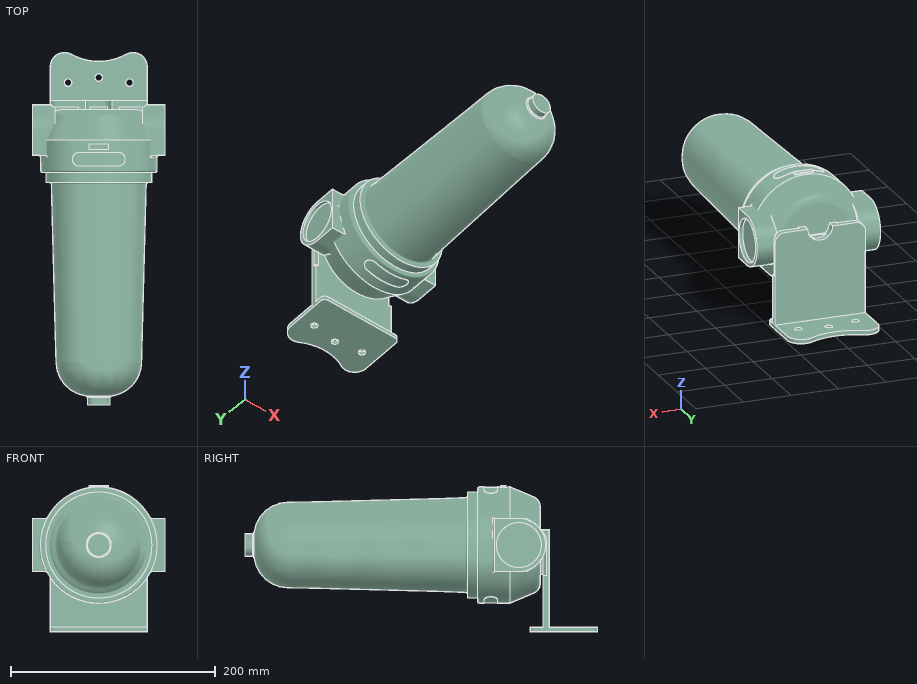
import cadquery as cq
import math


head_radius = 57.0
head_back = 21.0
head_front = -40.4
cone_front = -8.8
cone_back_radius = 47.2
back_rounding = 6.5
front_rounding = 2.0

collar_radius = 51.9
collar_front = -50.3
bowl_top_radius = 46.5
bowl_tip_radius = 42.0
collar_fillet = 2.0
dome_start = -225.3
dome_radius = 34.0
drain_radius = 11.1
drain_flare = 1.1
drain_end = -267.9

port_radius = 26.1
port_half_span = 65.0
port_inner = 43.0
port_front = -23.6
port_fillet = 2.0
port_recess_radius = 22.0
port_recess_depth = 4.0

label_length = 51.7
label_width = 13.3
label_center_y = -27.4
label_depth = 0.3

marking_length = 19.0
marking_width = 5.5
marking_center_y = -15.2
marking_height = 1.0

bracket_width = 95.0
bracket_top = 15.0
bracket_bottom = -85.0
upright_front = 23.5
upright_back = 29.9
upright_corner = 10.0
base_thickness = 4.6
base_front = 11.0
base_back = 77.0
base_front_corner = 5.5
ear_radius = 14.0
scallop_depth = 8.6
notch_radius = 13.0
side_relief = 3.3
side_relief_bottom = -30.0
screw_hole_diameter = 7.0
middle_hole_y = 52.5
outer_hole_y = 47.5
outer_hole_x = 30.0

pad_width = 40.0
pad_bottom = -29.0
pad_notch_floor = 5.2

half_bracket = bracket_width / 2


def about_y(profile):
    """Revolve an XY profile around the housing axis."""
    return profile.close().revolve(360, (0, 0, 0), (0, 1, 0))


def box(x_min, x_max, y_min, y_max, z_min, z_max):
    size = (x_max - x_min, y_max - y_min, z_max - z_min)
    return cq.Workplane("XY").box(*size, centered=False).translate((x_min, y_min, z_min))


def make_head():
    cone_back = head_back - back_rounding
    cone_angle = math.atan2(head_radius - cone_back_radius, cone_back - cone_front)
    back_arc_radius = back_rounding / (1 - math.sin(cone_angle))
    back_face_radius = cone_back_radius - back_arc_radius * math.cos(cone_angle)
    profile = (
        cq.Workplane("XY")
        .moveTo(0, head_front)
        .lineTo(head_radius - front_rounding, head_front)
        .radiusArc((head_radius, head_front + front_rounding), -front_rounding)
        .lineTo(head_radius, cone_front)
        .lineTo(cone_back_radius, cone_back)
        .tangentArcPoint((back_face_radius, head_back), relative=False)
        .lineTo(0, head_back)
    )
    return about_y(profile)


def make_bowl():
    dome_end = dome_start - dome_radius
    dome_center_radius = bowl_tip_radius - dome_radius
    diagonal = dome_radius * math.sqrt(0.5)
    profile = (
        cq.Workplane("XY")
        .moveTo(0, head_front)
        .lineTo(collar_radius, head_front)
        .lineTo(collar_radius, collar_front)
        .lineTo(bowl_top_radius + collar_fillet, collar_front)
        .radiusArc((bowl_top_radius, collar_front - collar_fillet), -collar_fillet)
        .lineTo(bowl_tip_radius, dome_start)
        .threePointArc(
            (dome_center_radius + diagonal, dome_start - diagonal),
            (dome_center_radius, dome_end),
        )
        .lineTo(0, dome_end)
    )
    flare_start = dome_end - drain_flare
    drain = (
        cq.Workplane("XY")
        .moveTo(0, dome_start)
        .lineTo(drain_radius + drain_flare, dome_start)
        .lineTo(drain_radius + drain_flare, dome_end)
        .lineTo(drain_radius, flare_start)
        .lineTo(drain_radius, drain_end)
        .lineTo(0, drain_end)
    )
    return about_y(profile).union(about_y(drain))


def make_port():
    """D-shaped port body on the +X side: round at the back, flat at the front."""
    return (
        cq.Workplane("YZ", origin=(port_inner, 0, 0))
        .moveTo(port_front, -port_radius)
        .lineTo(0, -port_radius)
        .threePointArc((port_radius, 0), (0, port_radius))
        .lineTo(port_front, port_radius)
        .close()
        .extrude(port_half_span - port_inner)
    )


def foot_edges(side):
    """Selector for the edges where the flat walls of one port meet the head."""
    slack = 0.1
    corner_a = (side * (port_inner + slack), port_front - slack, -port_radius - slack)
    corner_b = (side * (port_half_span - slack), slack, port_radius + slack)
    return cq.selectors.BoxSelector(corner_a, corner_b, boundingbox=True)


def add_ports(head):
    port = make_port()
    body = head.union(port).union(port.mirror("YZ"))
    for side in (-1, 1):
        body = body.edges(foot_edges(side)).fillet(port_fillet)
    recess = (
        cq.Workplane("YZ", origin=(port_half_span - port_recess_depth, 0, 0))
        .circle(port_recess_radius)
        .extrude(port_recess_depth)
    )
    return body.cut(recess).cut(recess.mirror("YZ"))


def make_label_recess():
    """Thin obround skin of the head cylinder, on the top and the bottom."""
    skin = (
        cq.Workplane("XZ", origin=(0, head_front, 0))
        .circle(head_radius + label_depth)
        .circle(head_radius - label_depth)
        .extrude(head_front - cone_front)
    )
    outline = (
        cq.Workplane("XY")
        .center(0, label_center_y)
        .slot2D(label_length, label_width)
        .extrude(head_radius + label_depth, both=True)
    )
    return skin.intersect(outline)


def make_marking_pad():
    y_min = marking_center_y - marking_width / 2
    y_max = marking_center_y + marking_width / 2
    x_max = marking_length / 2
    return box(-x_max, x_max, y_min, y_max, 0, head_radius + marking_height)


def notch_cutter(y_min, y_max):
    """Half-round notch open at the top edge of the bracket."""
    return (
        cq.Workplane("XZ", origin=(0, y_max, bracket_top))
        .circle(notch_radius)
        .extrude(y_max - y_min)
    )


def make_mounting_pad():
    x_max = pad_width / 2
    pad = box(-x_max, x_max, 0, upright_front, pad_bottom, bracket_top)
    floor = box(-x_max, x_max, head_back, upright_front, pad_bottom, pad_notch_floor)
    return pad.cut(notch_cutter(head_back, upright_front)).union(floor)


def make_upright():
    plate = box(-half_bracket, half_bracket, upright_front, upright_back, bracket_bottom, bracket_top)
    plate = plate.edges("|Y and >Z").fillet(upright_corner)
    plate = plate.cut(notch_cutter(upright_front, upright_back))
    relief = (
        cq.Workplane("XY", origin=(0, 0, side_relief_bottom))
        .moveTo(half_bracket, upright_front)
        .lineTo(half_bracket, upright_front + side_relief)
        .lineTo(half_bracket - side_relief, upright_front)
        .close()
        .extrude(bracket_top - side_relief_bottom)
    )
    return plate.cut(relief).cut(relief.mirror("YZ"))


def make_base():
    """Base plate with two rounded ears and a concave edge tangent to both."""
    ear_x = half_bracket - ear_radius
    ear_y = base_back - ear_radius
    valley_y = base_back - scallop_depth
    rise = valley_y - ear_y
    scallop_radius = (ear_x**2 + rise**2 - ear_radius**2) / (2 * (ear_radius - rise))
    share = ear_radius / (ear_radius + scallop_radius)
    tangent_x = ear_x * (1 - share)
    tangent_y = ear_y + (rise + scallop_radius) * share
    plate = (
        cq.Workplane("XY", origin=(0, 0, bracket_bottom))
        .moveTo(-half_bracket, base_front)
        .lineTo(half_bracket, base_front)
        .lineTo(half_bracket, ear_y)
        .threePointArc(
            (ear_x + ear_radius * math.sqrt(0.5), ear_y + ear_radius * math.sqrt(0.5)),
            (ear_x, base_back),
        )
        .tangentArcPoint((tangent_x, tangent_y), relative=False)
        .threePointArc((0, valley_y), (-tangent_x, tangent_y))
        .tangentArcPoint((-ear_x, base_back), relative=False)
        .tangentArcPoint((-half_bracket, ear_y), relative=False)
        .close()
        .extrude(base_thickness)
    )
    plate = plate.edges("|Z and <Y").fillet(base_front_corner)
    hole_places = [(-outer_hole_x, outer_hole_y), (0, middle_hole_y), (outer_hole_x, outer_hole_y)]
    holes = (
        cq.Workplane("XY", origin=(0, 0, bracket_bottom))
        .pushPoints(hole_places)
        .circle(screw_hole_diameter / 2)
        .extrude(base_thickness)
    )
    return plate.cut(holes)


housing = add_ports(make_head())
housing = housing.cut(make_label_recess()).union(make_marking_pad())
housing = housing.union(make_bowl())
bracket = make_upright().union(make_base()).union(make_mounting_pad())
result = housing.union(bracket)